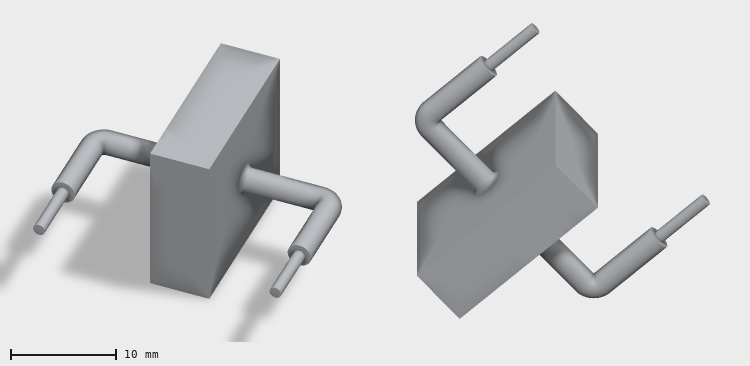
import cadquery as cq

body_width = 6.05
body_depth = 17.52
body_height = 16.0

overall_width = 26.55
sleeve_diameter = 2.4
wire_diameter = 1.2
sleeve_reach = 8.4
wire_reach = 14.35
bend_inside_radius = 0.03
collar_radius = 0.45

sleeve_radius = sleeve_diameter / 2
wire_radius = wire_diameter / 2
bend_radius = sleeve_radius + bend_inside_radius
lead_x = overall_width / 2 - sleeve_radius
bend_start_x = lead_x - bend_radius
face_x = body_width / 2


def make_collar():
    """Flared ring around the lead, turned about the X axis."""
    outer_radius = sleeve_radius + collar_radius
    arc_offset = collar_radius * (1 - 0.5 ** 0.5)
    return (
        cq.Workplane("XY")
        .moveTo(face_x, 0)
        .lineTo(face_x, outer_radius)
        .threePointArc(
            (face_x + arc_offset, sleeve_radius + arc_offset),
            (face_x + collar_radius, sleeve_radius),
        )
        .lineTo(face_x + collar_radius, 0)
        .close()
        .revolve(360, (0, 0, 0), (1, 0, 0))
    )


def make_lead():
    """Lead on the +X side: straight run, quarter bend, sleeve and bare wire."""
    run = cq.Workplane("YZ").circle(sleeve_radius).extrude(bend_start_x)
    bend = (
        cq.Workplane("YZ", origin=(bend_start_x, 0, 0))
        .circle(sleeve_radius)
        .revolve(90, (-bend_radius, 0.27, 0), (-bend_radius, 0, 0))
    )
    sleeve = (
        cq.Workplane("XZ", origin=(lead_x, -bend_radius, 0))
        .circle(sleeve_radius)
        .extrude(sleeve_reach - bend_radius)
    )
    wire = (
        cq.Workplane("XZ", origin=(lead_x, -sleeve_reach, 0))
        .circle(wire_radius)
        .extrude(wire_reach - sleeve_reach)
    )
    return run.union(bend).union(sleeve).union(wire).union(make_collar())


body = cq.Workplane("XY").box(body_width, body_depth, body_height)
right_lead = make_lead()
left_lead = right_lead.mirror("YZ")

result = body.union(right_lead).union(left_lead)